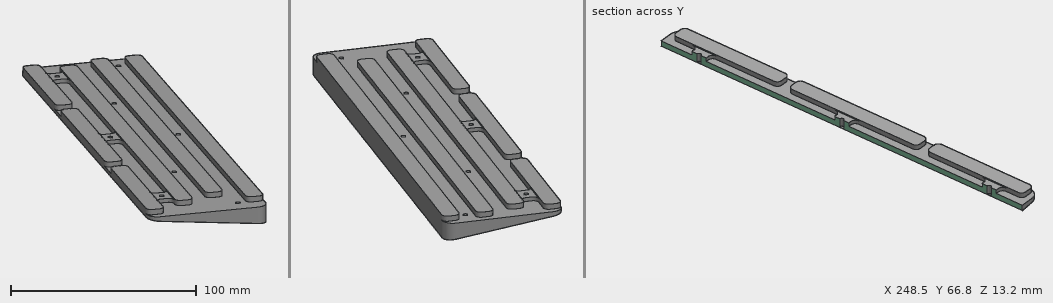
import cadquery as cq
import math

plate_length = 248.5
plate_width = 66.8
plate_corner_radius = 6.0
back_thickness = 10.2
wedge_angle = 7.0
plate_top = back_thickness
front_thickness = back_thickness - plate_width * math.tan(math.radians(wedge_angle))

row_count = 4
bar_width = 9.7
bar_height = 3.0
bar_corner_radius = 3.0
row_pitch = (plate_width - bar_width) / (row_count - 1)
front_row_y = -(plate_width - bar_width) / 2

bar_spans = [
    [(-120.5, -54.5), (-48.0, 40.5), (47.5, 120.0)],
    [(-114.5, 110.3)],
    [(-120.5, 102.6)],
    [(-120.5, 115.3)],
]

web_length = 10.0
web_height = 2.2
web_gap = row_pitch - bar_width

hole_diameter = 2.5
hole_depth = 3.0
front_holes_x = [-101.5, 0.0, 98.2]
middle_holes_x = [-57.2, 57.2]
back_holes_x = [-114.3, 0.0, 114.3]


def row_y(row):
    """Y of a row's centre line; half-integer rows lie midway between two bars."""
    return front_row_y + row * row_pitch


def make_plate():
    """Wedge with a level top and a sloping underside, rounded in plan."""
    half_width = plate_width / 2
    wedge = (
        cq.Workplane("YZ")
        .moveTo(half_width, 0)
        .lineTo(half_width, plate_top)
        .lineTo(-half_width, plate_top)
        .lineTo(-half_width, plate_top - front_thickness)
        .close()
        .extrude(plate_length / 2, both=True)
    )
    return wedge.edges("|Z").fillet(plate_corner_radius)


def make_bar(x_start, x_end, row):
    """Raised bar with rounded vertical corners."""
    return (
        cq.Workplane("XY", origin=((x_start + x_end) / 2, row_y(row), plate_top))
        .rect(x_end - x_start, bar_width)
        .extrude(bar_height)
        .edges("|Z")
        .fillet(bar_corner_radius)
    )


def make_web(x_center):
    """Low web between the two front rows, flaring out in an arc where it meets each bar."""
    neck = web_length / 2
    foot = neck + bar_corner_radius
    edge = web_gap / 2
    shoulder = edge - bar_corner_radius
    radius = bar_corner_radius
    return (
        cq.Workplane("XY", origin=(x_center, row_y(0.5), plate_top))
        .moveTo(-foot, edge)
        .lineTo(foot, edge)
        .radiusArc((neck, shoulder), -radius)
        .lineTo(neck, -shoulder)
        .radiusArc((foot, -edge), -radius)
        .lineTo(-foot, -edge)
        .radiusArc((-neck, -shoulder), -radius)
        .lineTo(-neck, shoulder)
        .radiusArc((-foot, edge), -radius)
        .close()
        .extrude(web_height)
    )


result = make_plate()

for row, spans in enumerate(bar_spans):
    for x_start, x_end in spans:
        result = result.union(make_bar(x_start, x_end, row))

for x_center in front_holes_x:
    result = result.union(make_web(x_center))

hole_points = []
for gap, holes_x in enumerate([front_holes_x, middle_holes_x, back_holes_x]):
    hole_points += [(x, row_y(gap + 0.5)) for x in holes_x]

holes = (
    cq.Workplane("XY", origin=(0, 0, plate_top - hole_depth))
    .pushPoints(hole_points)
    .circle(hole_diameter / 2)
    .extrude(hole_depth + web_height)
)
result = result.cut(holes)